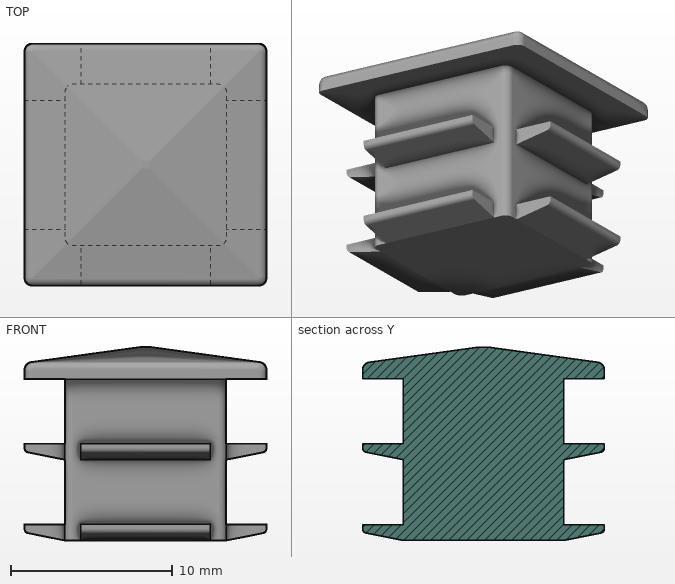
import cadquery as cq


plug_width = 10.0
plug_height = 10.0
plug_sides = 4
edge_radius = 0.5

head_width = 15.0
head_rim_height = 1.0
pyramid_height = 1.0
apex_width = 0.5

fin_length = 8.0
fin_root_height = 1.0
fin_tip_height = 0.5
fin_tip_radius = 0.3
fin_base_levels = (0.0, 5.0)
fin_overlap = 1.0
fin_tip_reach = head_width / 2


def make_plug():
    plug = cq.Workplane("XY").rect(plug_width, plug_width).extrude(plug_height)
    return plug.edges("|Z").fillet(edge_radius)


def make_head():
    rim_top = plug_height + head_rim_height
    rim = (
        cq.Workplane("XY")
        .workplane(offset=plug_height)
        .rect(head_width, head_width)
        .extrude(head_rim_height)
    )
    pyramid = (
        cq.Workplane("XY")
        .workplane(offset=rim_top)
        .rect(head_width, head_width)
        .workplane(offset=pyramid_height)
        .rect(apex_width, apex_width)
        .loft(ruled=True)
    )
    head = rim.union(pyramid)

    return head.edges("not(<Z or >Z)").fillet(edge_radius)


def make_fin(base_level):
    """Fin on the +X side, with a flat top and an underside rising to the tip."""
    root = plug_width / 2
    top_level = base_level + fin_root_height
    tip_bottom = top_level - fin_tip_height
    fin = (
        cq.Workplane("XZ")
        .moveTo(root - fin_overlap, base_level)
        .lineTo(root, base_level)
        .lineTo(fin_tip_reach, tip_bottom)
        .lineTo(fin_tip_reach, top_level)
        .lineTo(root - fin_overlap, top_level)
        .close()
        .extrude(fin_length / 2, both=True)
    )
    return fin.faces(">X").edges("<Z").fillet(fin_tip_radius)


def add_fins(body):
    """Put a ring of fins, one per plug side, at every level."""
    for base_level in fin_base_levels:
        fin = make_fin(base_level)
        for side in range(plug_sides):
            body = body.union(fin.rotate((0, 0, 0), (0, 0, 1), side * 360 / plug_sides))
    return body


result = add_fins(make_plug().union(make_head()))